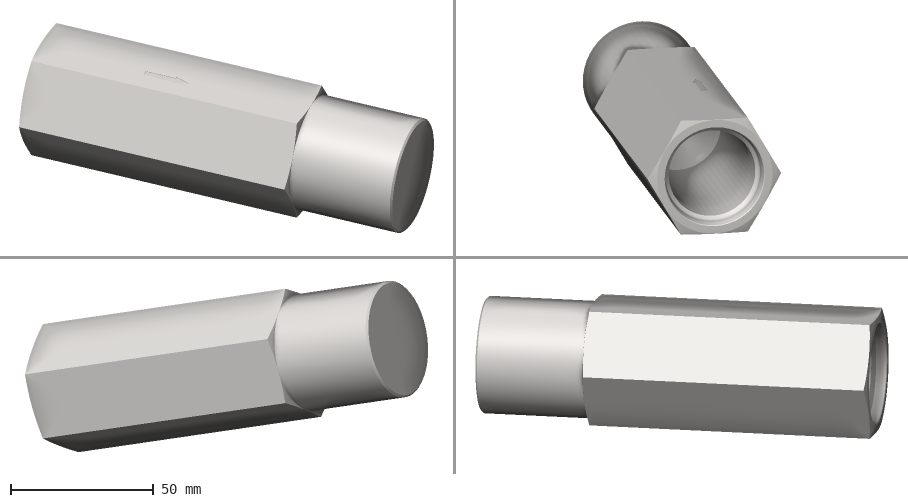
import cadquery as cq
import math

total_length = 139.7
hex_length = 101.4
across_corners = 47.6
across_flats = across_corners * math.cos(math.radians(30))
corner_bevel_angle = 14.0
bevel_circle_diameter = 41.1

spigot_diameter = 41.2
spigot_chamfer = 0.7

mouth_diameter = 35.8
mouth_chamfer = 0.3
seat_diameter = 33.8
seat_depth = 3.8
bore_diameter = 30.9
seat_cone_length = (seat_diameter - bore_diameter) / 2
bore_depth = 69.8
drill_point_angle = 118.0

arrow_tail_x = 40.2
arrow_neck_x = 51.4
arrow_tip_x = 56.7
arrow_center_y = -3.9
arrow_shaft_width = 2.2
arrow_head_width = 3.9
arrow_depth = 0.1


def revolve_about_x(half_profile):
    """Revolve (x, radius) points around the X axis."""
    return (
        cq.Workplane("XY")
        .polyline(half_profile)
        .close()
        .revolve(360, (0, 0, 0), (1, 0, 0))
    )


def make_hex_barrel():
    """Hexagonal bar with flats at top and bottom and its corners turned down at both ends."""
    corner_radius = across_corners / 2
    bar = (
        cq.Workplane("YZ")
        .polygon(6, across_corners)
        .extrude(hex_length)
    )
    face_radius = bevel_circle_diameter / 2
    bevel_length = (corner_radius - face_radius) * math.tan(math.radians(corner_bevel_angle))
    envelope = revolve_about_x([
        (0, 0),
        (0, face_radius),
        (bevel_length, corner_radius),
        (hex_length - bevel_length, corner_radius),
        (hex_length, face_radius),
        (hex_length, 0),
    ])
    return bar.intersect(envelope)


def make_spigot():
    """Plain round end with a chamfered rim."""
    return (
        cq.Workplane("YZ", origin=(hex_length, 0, 0))
        .circle(spigot_diameter / 2)
        .extrude(total_length - hex_length)
        .faces(">X")
        .chamfer(spigot_chamfer)
    )


def make_bore():
    """Chamfered and tapered mouth, conical seat, straight bore and drill point."""
    mouth_radius = mouth_diameter / 2
    bore_radius = bore_diameter / 2
    point_length = bore_radius / math.tan(math.radians(drill_point_angle / 2))
    return revolve_about_x([
        (0, 0),
        (0, mouth_radius),
        (mouth_chamfer, mouth_radius - mouth_chamfer),
        (seat_depth, seat_diameter / 2),
        (seat_depth + seat_cone_length, bore_radius),
        (bore_depth, bore_radius),
        (bore_depth + point_length, 0),
    ])


def make_arrow():
    """Shallow arrow pocket pointing along +X."""
    shaft = arrow_shaft_width / 2
    head = arrow_head_width / 2
    return (
        cq.Workplane("XY", origin=(0, arrow_center_y, across_flats / 2))
        .polyline([
            (arrow_tail_x, -shaft),
            (arrow_neck_x, -shaft),
            (arrow_neck_x, -head),
            (arrow_tip_x, 0),
            (arrow_neck_x, head),
            (arrow_neck_x, shaft),
            (arrow_tail_x, shaft),
        ])
        .close()
        .extrude(-arrow_depth)
    )


result = make_hex_barrel().union(make_spigot()).cut(make_bore()).cut(make_arrow())